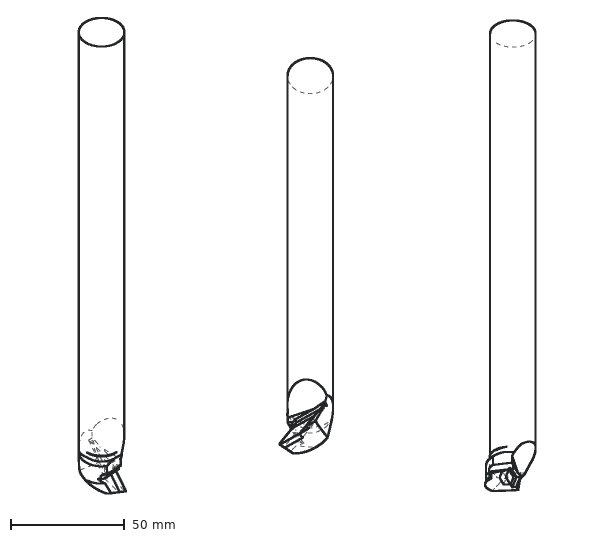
import cadquery as cq
import math


length = 251.2
shank_radius = 10.0

head_x = 1.5
head_y = -1.5
head_radius = 10.0
head_top = 17.3
head_chamfer = 1.5
neck_top = 20.0
neck_radius = head_radius - head_chamfer
split_height = 8.5

flare_top = 6.0
flare_bottom = -1.5
flare_x = 4.5
flare_y = -2.0
flare_radius = 11.5

side_relief_top = 20.0
side_relief_foot_x = -3.3
side_relief_foot_z = 5.8
rake_y = 1.8
rake_top = 26.5
rake_slope_end = (5.8, 22.0)
rake_bend = (3.3, 18.0)
rake_foot_z = 14.5
corner_relief_diameter = 2.8
corner_relief_x = 9.5
corner_relief_z = 9.8

reach = 14.8
nose_radius = 0.4
nose_angle = 35.0
lead_angle = 18.0
insert_edge = 11.0
insert_thickness = 3.0
pocket_mouth_edge = 15.0
clearance_angle = 7.0

clearing = 75.5

bisector = math.radians(lead_angle + nose_angle / 2)
nose_offset = nose_radius / math.sin(math.radians(nose_angle / 2))
tip_x = reach - nose_radius + nose_offset * math.cos(bisector)
tip_z = nose_radius - nose_offset * math.sin(bisector)


def along_edge(start, angle, distance):
    """Point reached from start by going toward -X, raised by the given angle."""
    turn = math.radians(angle)
    return start[0] - distance * math.cos(turn), start[1] + distance * math.sin(turn)


def rhombus(edge, y):
    """Rhombus in the XZ plane at y, with its sharp corner at the insert tip."""
    tip = (tip_x, tip_z)
    lower = along_edge(tip, lead_angle, edge)
    upper = along_edge(tip, lead_angle + nose_angle, edge)
    far = along_edge(lower, lead_angle + nose_angle, edge)
    return cq.Workplane("XZ", origin=(0, y, 0)).polyline([tip, lower, far, upper]).close()


def tapered_rhombus(edge, thickness):
    """Rhombus plate from y = 0 toward -Y, with relieved flanks and a rounded nose."""
    plate = rhombus(edge, 0).extrude(thickness, taper=clearance_angle)
    taper = thickness / 2 * math.tan(math.radians(clearance_angle))
    setback = taper / math.sin(math.radians(nose_angle / 2))
    nose = cq.selectors.NearestToPointSelector((
        tip_x - setback * math.cos(bisector),
        -thickness / 2,
        tip_z + setback * math.sin(bisector),
    ))
    return plate.edges(nose).fillet(nose_radius)


def make_head():
    """Chamfered eccentric cylinder, with its lower part flared and bounded by the insert flanks."""
    upper = (
        cq.Workplane("XY", origin=(head_x, head_y, split_height))
        .circle(head_radius)
        .extrude(head_top - split_height)
        .faces(">Z")
        .chamfer(head_chamfer)
        .faces(">Z")
        .workplane(origin=(head_x, head_y, head_top))
        .circle(neck_radius)
        .extrude(neck_top - head_top)
    )
    flat = cq.Workplane("XY").box(clearing, clearing, clearing).translate((shank_radius - clearing / 2, 0, 0))
    upper = upper.intersect(flat)

    lower = (
        cq.Workplane("XY", origin=(head_x, head_y, flare_top))
        .circle(head_radius)
        .extrude(split_height - flare_top)
    )
    flare = (
        cq.Workplane("XY", origin=(head_x, head_y, flare_top))
        .circle(head_radius)
        .workplane(offset=flare_bottom - flare_top)
        .center(flare_x - head_x, flare_y - head_y)
        .circle(flare_radius)
        .loft(ruled=True)
    )
    flanks = tapered_rhombus(clearing, clearing / 4)
    flanks = flanks.union(rhombus(clearing, 0).extrude(-clearing))
    return upper.union(lower.union(flare).intersect(flanks))


def side_relief():
    """Sloped cut on the -X side of the head."""
    return (
        cq.Workplane("XZ")
        .polyline([
            (-shank_radius, side_relief_top),
            (side_relief_foot_x, side_relief_foot_z),
            (side_relief_foot_x, -clearing),
            (-clearing, -clearing),
            (-clearing, side_relief_top),
        ])
        .close()
        .extrude(clearing, both=True)
    )


def rake_relief():
    """Cut on the +Y side that opens the head down to just above the cutting edge."""
    return (
        cq.Workplane("YZ")
        .moveTo(shank_radius, rake_top)
        .lineTo(*rake_slope_end)
        .threePointArc(rake_bend, (rake_y, rake_foot_z))
        .lineTo(rake_y, -clearing)
        .lineTo(clearing, -clearing)
        .lineTo(clearing, rake_top)
        .close()
        .extrude(clearing, both=True)
    )


def corner_relief():
    """Round groove along Y beside the upper corner of the insert."""
    return (
        cq.Workplane("XZ")
        .center(corner_relief_x, corner_relief_z)
        .circle(corner_relief_diameter / 2)
        .extrude(clearing, both=True)
    )


def make_bar(insert):
    shank = (
        cq.Workplane("XY", origin=(0, 0, split_height))
        .circle(shank_radius)
        .extrude(length - split_height)
    )
    bar = shank.union(make_head())
    for cutter in (side_relief(), rake_relief(), corner_relief()):
        bar = bar.cut(cutter)
    pocket_mouth = rhombus(pocket_mouth_edge, 0).extrude(-clearing / 10)
    return bar.cut(insert).cut(pocket_mouth).solids()


insert = tapered_rhombus(insert_edge, insert_thickness)
bar = make_bar(insert)
result = cq.Compound.makeCompound([bar.val(), insert.val()])